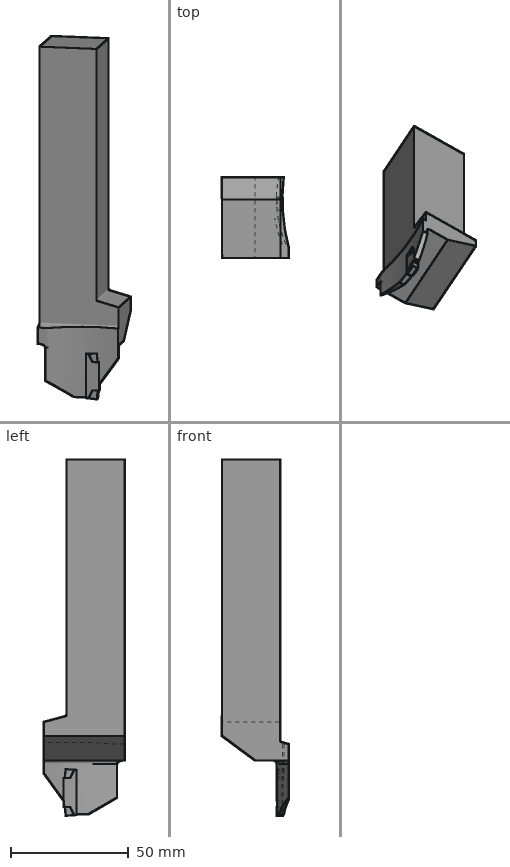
import cadquery as cq
import math

total_height = 151.35
head_depth = 34.4
right_x = 28.53

shank_width = 24.8
side_lean = 0.15
shank_right_x = side_lean + shank_width

head_bottom_z = 23.5
bevel_top_z = 34.0
bevel_end_x = 14.15
shoulder_angle = math.radians(15)
side_shoulder_z = 31.5
front_shoulder_z = 42.5
shoulder_fillet = 0.7

groove_center_y = 25.0
inner_face_x = 25.85
inner_face_radius = 80.0
outer_face_x = 23.25
blade_back_y = 3.2
blade_fillet = 1.4

back_corner_z = 7.75
back_bevel_end_y = 15.4
blade_bottom_z = 0.65
front_corner_z = 18.0
front_bevel_end_y = 26.3
front_bevel_end_z = 6.8

insert_back_y = 20.4
insert_front_y = 26.0
insert_tip_y = 25.1
insert_length = 19.85
insert_end_rise = 0.3
insert_body_x = 23.5
insert_body_width = 2.2
tip_overhang = 0.3
tip_length = 3.8
tip_shoulder_y = 25.5
tip_inner_y = 23.2
tip_heel_y = 21.5


def arc_face_x(vertex_x, radius, y):
    """X of a circular face bulging to -X, at a given Y."""
    return vertex_x + radius - math.sqrt(radius**2 - (y - groove_center_y) ** 2)


def inner_face(y):
    return arc_face_x(inner_face_x, inner_face_radius, y), y


outer_sagitta = right_x - outer_face_x
outer_half_chord = groove_center_y - blade_back_y
outer_face_radius = (outer_half_chord**2 + outer_sagitta**2) / (2 * outer_sagitta)

inner_arc_rise = inner_face_x + inner_face_radius - right_x
inner_face_start_y = groove_center_y - math.sqrt(inner_face_radius**2 - inner_arc_rise**2)


def extrude_along_x(points):
    """Prism across the full width from an outline of (y, z) points."""
    return cq.Workplane("YZ").polyline(points).close().extrude(right_x)


def make_shank_and_head():
    side_drop = (right_x - shank_right_x) * math.tan(shoulder_angle)
    width_profile = (
        cq.Workplane("XZ")
        .polyline([
            (0, total_height),
            (0, bevel_top_z),
            (bevel_end_x, head_bottom_z),
            (right_x, head_bottom_z),
            (right_x, side_shoulder_z - side_drop),
            (shank_right_x, side_shoulder_z),
            (shank_right_x, total_height),
        ])
        .close()
        .extrude(-head_depth)
        .edges(cq.selectors.NearestToPointSelector((shank_right_x, head_depth / 2, side_shoulder_z)))
        .fillet(shoulder_fillet)
    )
    front_drop = (head_depth - shank_width) * math.tan(shoulder_angle)
    depth_profile = (
        extrude_along_x([
            (0, 0),
            (0, total_height),
            (shank_width, total_height),
            (shank_width, front_shoulder_z),
            (head_depth, front_shoulder_z - front_drop),
            (head_depth, 0),
        ])
        .edges(cq.selectors.NearestToPointSelector((right_x / 2, shank_width, front_shoulder_z)))
        .fillet(shoulder_fillet)
    )
    plan = (
        cq.Workplane("XY")
        .moveTo(side_lean, 0)
        .lineTo(right_x, 0)
        .lineTo(right_x, inner_face_start_y)
        .threePointArc(inner_face(groove_center_y), inner_face(head_depth))
        .lineTo(0, head_depth)
        .close()
        .extrude(total_height)
    )
    return width_profile.intersect(depth_profile).intersect(plan)


def make_blade():
    plan = (
        cq.Workplane("XY")
        .moveTo(right_x, blade_back_y)
        .lineTo(right_x, inner_face_start_y)
        .threePointArc(inner_face(groove_center_y), inner_face(head_depth))
        .lineTo(arc_face_x(outer_face_x, outer_face_radius, head_depth), head_depth)
        .threePointArc((outer_face_x, groove_center_y), (right_x, blade_back_y))
        .close()
        .extrude(head_bottom_z)
    )
    outline = extrude_along_x([
        (blade_back_y, head_bottom_z),
        (blade_back_y, back_corner_z),
        (back_bevel_end_y, blade_bottom_z),
        (insert_back_y, blade_bottom_z),
        (front_bevel_end_y, front_bevel_end_z),
        (head_depth, front_corner_z),
        (head_depth, head_bottom_z),
    ])
    return plan.intersect(outline)


insert_outline = [
    (insert_back_y, insert_end_rise),
    (insert_tip_y, 0),
    (tip_shoulder_y, tip_length),
    (insert_front_y, tip_length),
    (insert_front_y, insert_length - tip_length),
    (tip_shoulder_y, insert_length - tip_length),
    (insert_tip_y, insert_length),
    (insert_back_y, insert_length - insert_end_rise),
]


def make_holder():
    joined = make_shank_and_head().union(make_blade())
    root_edge = cq.selectors.NearestToPointSelector((outer_face_x, groove_center_y, head_bottom_z))
    return joined.edges(root_edge).fillet(blade_fillet).cut(extrude_along_x(insert_outline))


def make_tip(flip):
    """Wider cutting end of the insert; flip builds the upper one."""
    outline = [
        (tip_heel_y, insert_end_rise),
        (insert_tip_y, 0),
        (tip_shoulder_y, tip_length),
        (tip_inner_y, tip_length),
    ]
    if flip:
        outline = [(y, insert_length - z) for y, z in outline]
    return (
        cq.Workplane("YZ", origin=(insert_body_x - tip_overhang, 0, 0))
        .polyline(outline)
        .close()
        .extrude(insert_body_width + 2 * tip_overhang)
    )


def make_insert():
    body = (
        cq.Workplane("YZ", origin=(insert_body_x, 0, 0))
        .polyline(insert_outline)
        .close()
        .extrude(insert_body_width)
    )
    for flip in (False, True):
        body = body.union(make_tip(flip))
    return body


holder = make_holder()
cutting_insert = make_insert()
result = cq.Compound.makeCompound([holder.val(), cutting_insert.val()])